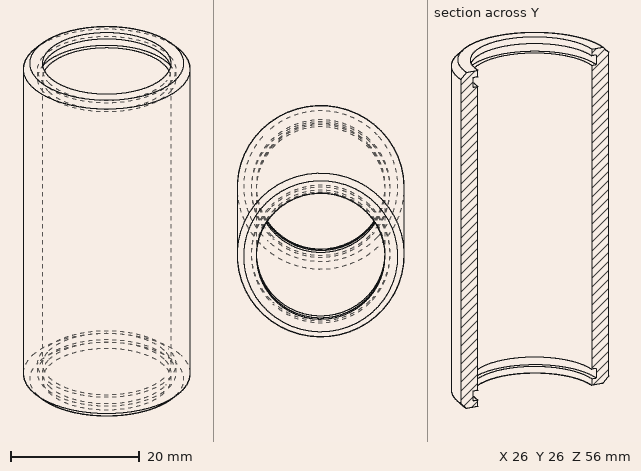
import cadquery as cq

length = 56.0
outer_diameter = 26.0
bore_diameter = 20.0
chamfer_size = 1.0

groove_depth = 0.8
groove_width = 1.55
lip_width = 1.1


def make_sleeve():
    """Tube with chamfered outer rims."""
    body = cq.Workplane("XY").circle(outer_diameter / 2).extrude(length)
    body = body.faces("<Z or >Z").chamfer(chamfer_size)
    bore = cq.Workplane("XY").circle(bore_diameter / 2).extrude(length)
    return body.cut(bore)


def make_groove(bottom):
    """Disc that cuts a ring groove into the bore wall, starting at height bottom."""
    groove_radius = bore_diameter / 2 + groove_depth
    return cq.Workplane("XY").workplane(offset=bottom).circle(groove_radius).extrude(groove_width)


result = make_sleeve()
for groove_bottom in (lip_width, length - lip_width - groove_width):
    result = result.cut(make_groove(groove_bottom))